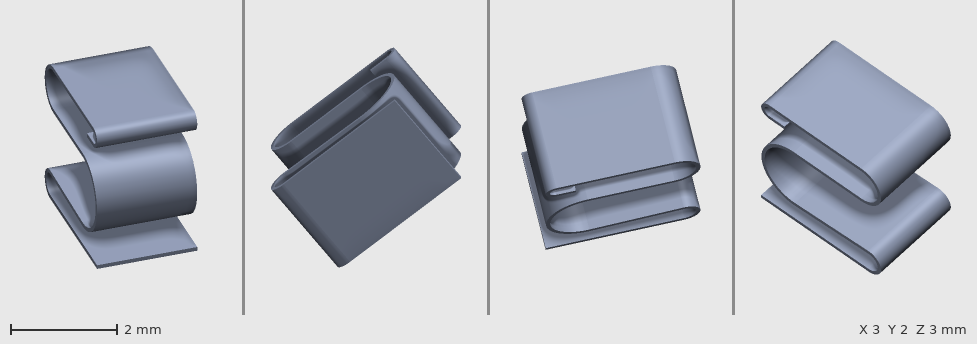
import cadquery as cq
import math

size = 3.0
width = 2.0
thickness = 0.08
half = thickness / 2

hook_radius = 0.207
upper_radius = 0.498
large_radius = 0.81
lower_radius = 0.312

hook_tip_x = 2.415
large_bend_inset = 0.005
large_center_x = size - large_bend_inset - large_radius

hook_center = (size - hook_radius, size - hook_radius)
upper_center = (upper_radius, size - upper_radius)
middle_top_z = size - 2 * upper_radius + thickness
large_center = (large_center_x, middle_top_z - large_radius)
lower_center = (lower_radius, lower_radius)
tip_z = hook_center[1] - hook_radius + half


def on_bend(center, outer_radius, angle):
    """Point on the strip's centreline at an angle (radians) around a bend."""
    radius = outer_radius - half
    return (center[0] + radius * math.cos(angle), center[1] + radius * math.sin(angle))


up = math.pi / 2
down = -up
left = math.pi

run_x = large_center[0] - lower_center[0]
run_z = large_center[1] - lower_center[1]
radius_sum = large_radius + lower_radius - thickness
slope = math.atan2(run_z, run_x) - math.asin(radius_sum / math.hypot(run_x, run_z))

large_end = down + slope
lower_start = up + slope

centerline = (
    cq.Workplane("XZ")
    .moveTo(hook_tip_x, tip_z)
    .lineTo(*on_bend(hook_center, hook_radius, down))
    .threePointArc(on_bend(hook_center, hook_radius, 0), on_bend(hook_center, hook_radius, up))
    .lineTo(*on_bend(upper_center, upper_radius, up))
    .threePointArc(
        on_bend(upper_center, upper_radius, left), on_bend(upper_center, upper_radius, down)
    )
    .lineTo(*on_bend(large_center, large_radius, up))
    .threePointArc(
        on_bend(large_center, large_radius, 0), on_bend(large_center, large_radius, large_end)
    )
    .lineTo(*on_bend(lower_center, lower_radius, lower_start))
    .threePointArc(
        on_bend(lower_center, lower_radius, left), on_bend(lower_center, lower_radius, down)
    )
    .lineTo(size, half)
)

strip_section = cq.Workplane("YZ", origin=(hook_tip_x, 0, tip_z)).rect(width, thickness)
result = strip_section.sweep(centerline)